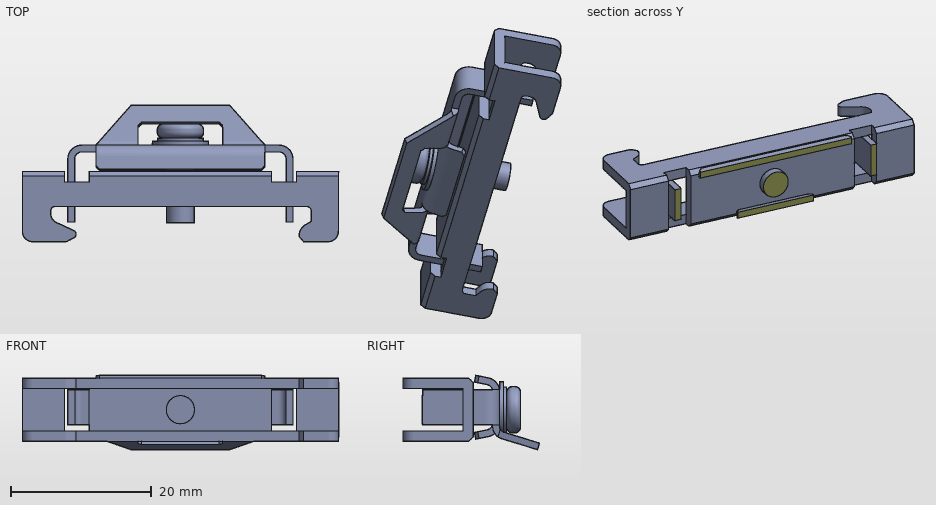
import cadquery as cq
import math


channel_half_length = 22.45
channel_depth = 10.0
channel_height = 9.0
channel_wall = 1.5
channel_edge_chamfer = 0.65
flange_front = 5.0
hook_outer_radius = 1.5
long_hook_inner_x = -18.4
long_hook_tip_x = -14.8
short_hook_inner_x = 18.55
short_hook_tip_x = 16.85
recess_corner = 0.6
notch_inner = 12.95
notch_outer = 16.45
end_lip_length = 0.1
end_lip_thickness = 0.05

sheet = 1.0
clip_back = 13.75
clip_mid_z = 0.35
clip_half_width = 12.0
bend_inner_radius = 1.0
bend_outer_radius = bend_inner_radius + sheet
corner_chamfer = 0.5
bend_offset_z = 2.22
lip_angle = math.radians(11.5)
lip_length = 1.85
arm_width = 5.0
arm_outer_x = 16.0
arm_tip = 2.8

tab_angle = math.radians(17)
tab_bend_radius = 0.8
tab_bend_z = -2.41
tab_tip = 19.41
tab_tip_half_width = 7.0
window_half_width = 6.0
window_end = 17.0

shank_diameter = 4.0
shank_tip = 2.7
washer_diameter = 8.0
washer_thickness = 0.55
spring_washer_diameter = 6.5
spring_washer_thickness = 0.43
head_diameter = 6.6
head_top = 16.72
head_round = 0.82


def box(x_range, y_range, z_range):
    """Axis-aligned box from its limits along X, Y and Z."""
    lows, highs = zip(x_range, y_range, z_range)
    size = [high - low for low, high in zip(lows, highs)]
    return cq.Workplane("XY").box(*size, centered=False).translate(lows)


def channel_outline():
    """Flange shape with a long pointed hook at -X and a short hook at +X."""
    end = channel_half_length
    recess_top = flange_front - recess_corner

    foot_start = (-16.3, 0)
    foot_mid = (-16.17, 0.02)
    foot_end = (-16.05, 0.07)
    tip_start = (-15.05, 0.6)
    tip_mid = (long_hook_tip_x, 1.05)
    tip_end = (-15.1, 1.6)
    slope_end = (-17.35, 2.65)
    recess_mid = (-18.1, 3.15)
    recess_end = (long_hook_inner_x, 3.95)

    shoulder_start = (short_hook_inner_x, 2.9)
    shoulder_end = (17.7, 2.4)
    nose_mid = (17.1, 1.8)
    nose_end = (short_hook_tip_x, 1.1)
    bevel_start = (short_hook_tip_x, 0.75)
    bevel_end = (17.5, 0)

    return (
        cq.Workplane("XY")
        .moveTo(-end, channel_depth)
        .lineTo(-end, hook_outer_radius)
        .radiusArc((-end + hook_outer_radius, 0), -hook_outer_radius)
        .lineTo(*foot_start)
        .threePointArc(foot_mid, foot_end)
        .lineTo(*tip_start)
        .threePointArc(tip_mid, tip_end)
        .lineTo(*slope_end)
        .threePointArc(recess_mid, recess_end)
        .lineTo(long_hook_inner_x, recess_top)
        .radiusArc((long_hook_inner_x + recess_corner, flange_front), recess_corner)
        .lineTo(short_hook_inner_x - recess_corner, flange_front)
        .radiusArc((short_hook_inner_x, recess_top), recess_corner)
        .lineTo(*shoulder_start)
        .lineTo(*shoulder_end)
        .threePointArc(nose_mid, nose_end)
        .lineTo(*bevel_start)
        .lineTo(*bevel_end)
        .lineTo(end - hook_outer_radius, 0)
        .radiusArc((end, hook_outer_radius), -hook_outer_radius)
        .lineTo(end, channel_depth)
        .close()
    )


def make_channel():
    half_height = channel_height / 2
    inner_half = half_height - channel_wall
    length = (-channel_half_length, channel_half_length)
    web_front = channel_depth - channel_wall
    body = channel_outline().extrude(half_height, both=True)
    body = body.cut(box(length, (0, web_front), (-inner_half, inner_half)))
    body = body.faces(">Y").edges("|X").chamfer(channel_edge_chamfer)
    full_height = (-half_height, half_height)
    for low, high in ((-notch_outer, -notch_inner), (notch_inner, notch_outer)):
        body = body.cut(box((low, high), (web_front, channel_depth), full_height))
    lip_half = half_height - channel_edge_chamfer
    lip = box(
        (channel_half_length - channel_wall, channel_half_length + end_lip_length),
        (channel_depth - end_lip_thickness, channel_depth),
        (-lip_half, lip_half),
    )
    return body.union(lip)


def make_lip(half_width):
    """Upper spring lip: a bend of just under 90 degrees, then a straight strip toward -Y."""
    center_y = clip_back - bend_outer_radius
    center_z = clip_mid_z + bend_offset_z

    def on_bend(radius, angle, along=0.0):
        y = center_y + radius * math.cos(angle) - along * math.cos(lip_angle)
        z = center_z + radius * math.sin(angle) + along * math.sin(lip_angle)
        return y, z

    end_angle = math.pi / 2 - lip_angle
    lip = (
        cq.Workplane("YZ")
        .moveTo(clip_back, clip_mid_z)
        .lineTo(*on_bend(bend_outer_radius, 0))
        .threePointArc(
            on_bend(bend_outer_radius, end_angle / 2), on_bend(bend_outer_radius, end_angle)
        )
        .lineTo(*on_bend(bend_outer_radius, end_angle, lip_length))
        .lineTo(*on_bend(bend_inner_radius, end_angle, lip_length))
        .lineTo(*on_bend(bend_inner_radius, end_angle))
        .threePointArc(
            on_bend(bend_inner_radius, end_angle / 2), on_bend(bend_inner_radius, 0)
        )
        .lineTo(clip_back - sheet, clip_mid_z)
        .close()
        .extrude(half_width, both=True)
    )
    return lip.faces("<Y").edges("not |X").chamfer(corner_chamfer)


def make_tab():
    """Release tab: bends outward at the lower edge of the clip plate."""
    along_y = math.cos(tab_angle)
    along_z = -math.sin(tab_angle)
    center_y = clip_back + tab_bend_radius
    outer_radius = tab_bend_radius + sheet

    def on_bend(radius, angle):
        return center_y - radius * math.cos(angle), tab_bend_z - radius * math.sin(angle)

    end_angle = math.pi / 2 - tab_angle
    inner_end = on_bend(tab_bend_radius, end_angle)
    outer_end = on_bend(outer_radius, end_angle)
    length = (tab_tip - inner_end[0]) / along_y
    inner_tip = (inner_end[0] + length * along_y, inner_end[1] + length * along_z)
    outer_tip = (outer_end[0] + length * along_y, outer_end[1] + length * along_z)
    tab = (
        cq.Workplane("YZ")
        .moveTo(clip_back, clip_mid_z)
        .lineTo(clip_back, tab_bend_z)
        .threePointArc(on_bend(tab_bend_radius, end_angle / 2), inner_end)
        .lineTo(*inner_tip)
        .lineTo(*outer_tip)
        .lineTo(*outer_end)
        .threePointArc(on_bend(outer_radius, end_angle / 2), (clip_back - sheet, tab_bend_z))
        .lineTo(clip_back - sheet, clip_mid_z)
        .close()
        .extrude(clip_half_width, both=True)
    )
    window_length = (window_end - inner_end[0]) / along_y
    tab_plane = cq.Plane(
        origin=(0, window_end, inner_end[1] + window_length * along_z),
        xDir=(1, 0, 0),
        normal=(0, math.sin(tab_angle), along_y),
    )
    taper_start = (clip_back - window_end) / along_y
    taper_end = (tab_tip - window_end) / along_y
    taper = (
        cq.Workplane(tab_plane)
        .polyline([
            (-clip_half_width, -tab_tip),
            (clip_half_width, -tab_tip),
            (clip_half_width, taper_start),
            (tab_tip_half_width, taper_end),
            (-tab_tip_half_width, taper_end),
            (-clip_half_width, taper_start),
        ])
        .close()
        .extrude(channel_height, both=True)
    )
    window = (
        cq.Workplane(tab_plane)
        .polyline([
            (-window_half_width, -window_length),
            (-window_half_width, -corner_chamfer),
            (-window_half_width + corner_chamfer, 0),
            (window_half_width - corner_chamfer, 0),
            (window_half_width, -corner_chamfer),
            (window_half_width, -window_length),
        ])
        .close()
        .extrude(2 * sheet, both=True)
    )
    bend_opening = box(
        (-window_half_width, window_half_width),
        (clip_back - sheet, inner_end[0]),
        (outer_end[1], clip_mid_z - bend_offset_z),
    )
    return tab.intersect(taper).cut(window).cut(bend_opening)


def make_arm():
    """Guide arm at +X: leaves the clip plate sideways and bends toward -Y."""
    bend_x = arm_outer_x - bend_outer_radius
    bend_y = clip_back - bend_outer_radius
    arm_inner_x = arm_outer_x - sheet
    return (
        cq.Workplane("XY", origin=(0, 0, clip_mid_z))
        .moveTo(clip_half_width - sheet, clip_back)
        .lineTo(bend_x, clip_back)
        .radiusArc((arm_outer_x, bend_y), bend_outer_radius)
        .lineTo(arm_outer_x, arm_tip)
        .lineTo(arm_inner_x, arm_tip)
        .lineTo(arm_inner_x, bend_y)
        .radiusArc((bend_x, clip_back - sheet), -bend_inner_radius)
        .lineTo(clip_half_width - sheet, clip_back - sheet)
        .close()
        .extrude(arm_width / 2, both=True)
    )


def make_clip():
    mid_plane = (0, 0, clip_mid_z)
    upper_lip = make_lip(clip_half_width)
    lower_lip = make_lip(window_half_width).mirror("XY", mid_plane)
    arm = make_arm()
    return upper_lip.union(make_tab()).union(lower_lip).union(arm).union(arm.mirror("YZ"))


def make_screw():
    def disc(diameter, start, length):
        return cq.Workplane("XZ", origin=(0, start, 0)).circle(diameter / 2).extrude(-length)

    spring_washer_start = clip_back + washer_thickness
    head_start = spring_washer_start + spring_washer_thickness
    shank = disc(shank_diameter, shank_tip, head_start - shank_tip)
    washer = disc(washer_diameter, clip_back, washer_thickness)
    spring_washer = disc(spring_washer_diameter, spring_washer_start, spring_washer_thickness)
    head = disc(head_diameter, head_start, head_top - head_start).edges().fillet(head_round)
    return shank.union(washer).union(spring_washer).union(head)


result = make_channel().union(make_clip()).union(make_screw())